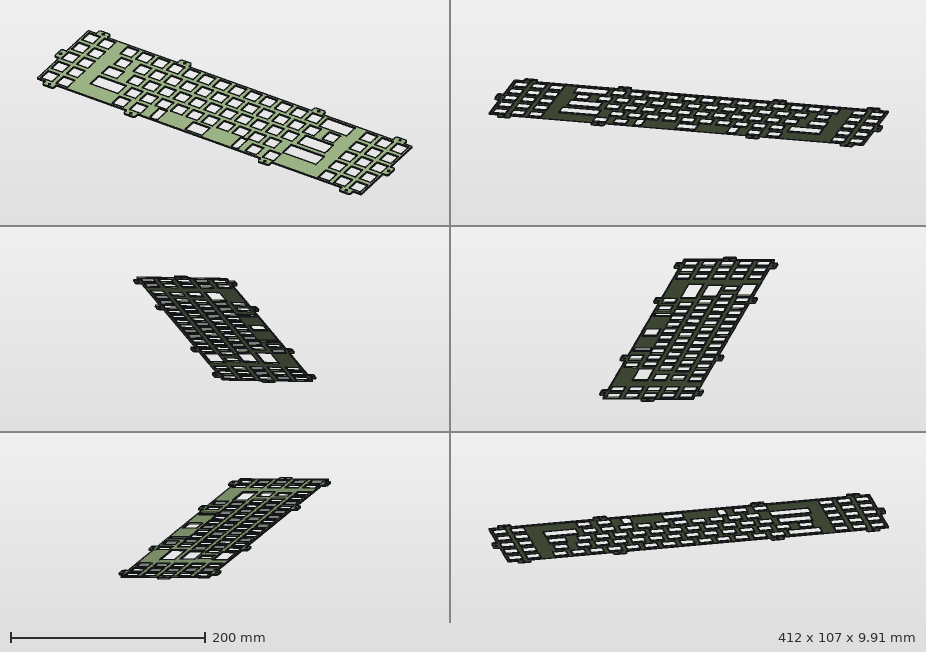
import cadquery as cq


overall_length = 412.0
plate_length = 400.0
thickness = 1.5
tilt_angle = 4.5

columns = 21
rows = 5
pitch = plate_length / columns
plate_width = rows * pitch

switch_size = 14.0

tab_reach = (overall_length - plate_length) / 2
tab_width = 13.5
tab_corner_radius = 2.0
screw_diameter = 2.5
screw_offset = 2.5
tab_positions = (-183.5, -83.0, 83.0, 183.5)

stabilizer_length = 34.0
stabilizer_width = 16.0

space_bar_x = -8.5
space_bar_length = 21.0
space_bar_width = 15.2

left_slot_x = -57.5
right_slot_x = 42.5
left_slot_length = 10.0
right_slot_length = 8.5
slot_rear = 10.7
slot_front = 7.0
notch_length = 5.8
notch_depth = 1.2

side_keys = [(0.5, 2), (18.5, 3)]
main_keys = [
    [(3.0, 13)],
    [(3.25, 1), (4.5, 12), (16.75, 1)],
    [(3.125, 1), (3.375, 1), (4.75, 11)],
    [(5.25, 10)],
    [(5.125, 1), (6.25, 1), (13.75, 1), (14.875, 1)],
]

stabilized_keys = [
    (16.5, 0, -1),
    (16.35, 2, 1),
    (3.65, 3, -1),
    (16.125, 3, -1),
    (16.5, 3, -1),
]


def key_x(column):
    """X of a key centre given in pitches from the left edge."""
    return column * pitch - plate_length / 2


def row_y(row):
    """Y of the centre line of a key row, counted from the rear."""
    return plate_width / 2 - (row + 0.5) * pitch


def box(x, y, length, width):
    """Block through the full plate thickness, centred at (x, y)."""
    return cq.Workplane("XY").center(x, y).rect(length, width).extrude(thickness)


def tab(x, y, angle):
    """Screw tab at an edge point, reaching out along +Y turned by angle."""
    body = box(0, 0, tab_width, 2 * tab_reach).edges("|Z and >Y").fillet(tab_corner_radius)
    return body.rotate((0, 0, 0), (0, 0, 1), angle).translate((x, y, 0))


def screw_hole(x, y, angle):
    """Hole through the tab placed at the same edge point and angle."""
    hole = cq.Workplane("XY").center(0, screw_offset).circle(screw_diameter / 2).extrude(thickness)
    return hole.rotate((0, 0, 0), (0, 0, 1), angle).translate((x, y, 0))


def switch_cutouts():
    """One square cutout for every switch of the main and side blocks."""
    centers = []
    for row, groups in enumerate(main_keys):
        for first, count in groups + side_keys:
            centers += [(key_x(first + i), row_y(row)) for i in range(count)]
    return [box(x, y, switch_size, switch_size) for x, y in centers]


def stabilizer_cutouts():
    """Wide cutouts with one long edge in line with the switches of their row."""
    shift = (stabilizer_width - switch_size) / 2
    return [
        box(key_x(column), row_y(row) + side * shift, stabilizer_length, stabilizer_width)
        for column, row, side in stabilized_keys
    ]


def space_bar_cutout():
    """Cutout whose front edge lines up with the other keys of the row."""
    y = row_y(rows - 1) + (space_bar_width - switch_size) / 2
    return box(space_bar_x, y, space_bar_length, space_bar_width)


def space_bar_slot(x, length):
    """Slot with a narrower notch at its front end."""
    y = row_y(rows - 1)
    body = box(x, y + (slot_rear - slot_front) / 2, length, slot_rear + slot_front)
    notch = box(x, y - slot_front, notch_length, 2 * notch_depth)
    return body.union(notch)


tab_places = [(-plate_length / 2, 0, 90), (plate_length / 2, 0, -90)]
for tab_x in tab_positions:
    tab_places.append((tab_x, plate_width / 2, 0))
    tab_places.append((tab_x, -plate_width / 2, 180))

plate = box(0, 0, plate_length, plate_width)
for place in tab_places:
    plate = plate.union(tab(*place))

cutouts = [screw_hole(*place) for place in tab_places]
cutouts += switch_cutouts()
cutouts += stabilizer_cutouts()
cutouts.append(space_bar_cutout())
cutouts.append(space_bar_slot(left_slot_x, left_slot_length))
cutouts.append(space_bar_slot(right_slot_x, right_slot_length))
for cutout in cutouts:
    plate = plate.cut(cutout)

result = plate.rotate((0, 0, 0), (1, 0, 0), tilt_angle)